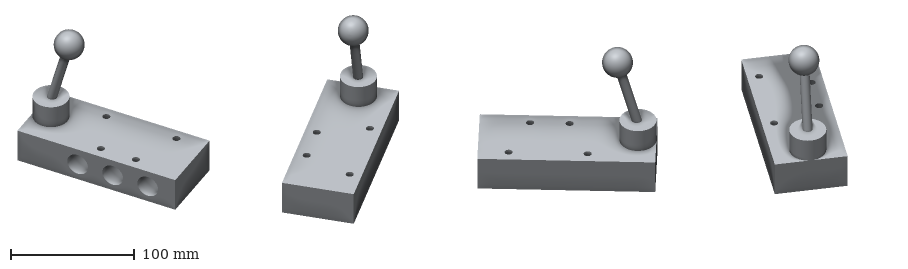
import cadquery as cq
import math

block_length = 144.0
block_width = 60.0
block_height = 30.0
mid_y = block_width / 2

housing_diameter = 30.0
housing_height = 20.0
housing_x = housing_diameter / 2
housing_top = block_height + housing_height

overall_height = 120.4
knob_diameter = 25.0
knob_x = 31.5
knob_z = overall_height - knob_diameter / 2
lever_diameter = 8.0
lever_tilt = math.radians(15)
lever_embed = 5.8

port_diameter = 18.9
port_depth = 20.0
port_pitch = 32.0
middle_port_x = 87.0

mount_diameter = 6.5
mount_edge_distance = 10.0


def make_block():
    return cq.Workplane("XY").box(block_length, block_width, block_height, centered=False)


def make_housing():
    base = cq.Workplane("XY", origin=(housing_x, mid_y, block_height))
    return base.circle(housing_diameter / 2).extrude(housing_height)


def make_lever():
    length = (knob_z - housing_top) / math.cos(lever_tilt) + lever_embed
    direction = cq.Vector(math.sin(lever_tilt), 0, math.cos(lever_tilt))
    knob_center = cq.Vector(knob_x, mid_y, knob_z)
    start = knob_center - direction * length
    rod = cq.Solid.makeCylinder(lever_diameter / 2, length, start, direction)
    knob = cq.Workplane("XY").sphere(knob_diameter / 2).translate(knob_center)
    return knob.union(cq.Workplane(obj=rod))


def make_ports():
    centers = [(middle_port_x + step * port_pitch, block_height / 2) for step in (-1, 0, 1)]
    return cq.Workplane("XZ").pushPoints(centers).circle(port_diameter / 2).extrude(-port_depth)


def make_mounting_holes():
    rear_y = block_width - mount_edge_distance
    front_y = mount_edge_distance
    centers = []
    for side in (-1, 1):
        centers.append((middle_port_x + side * port_pitch, rear_y))
        centers.append((middle_port_x + side * port_pitch / 2, front_y))
    return cq.Workplane("XY").pushPoints(centers).circle(mount_diameter / 2).extrude(block_height)


drilled_block = make_block().cut(make_ports()).cut(make_mounting_holes())
result = drilled_block.union(make_housing()).union(make_lever())